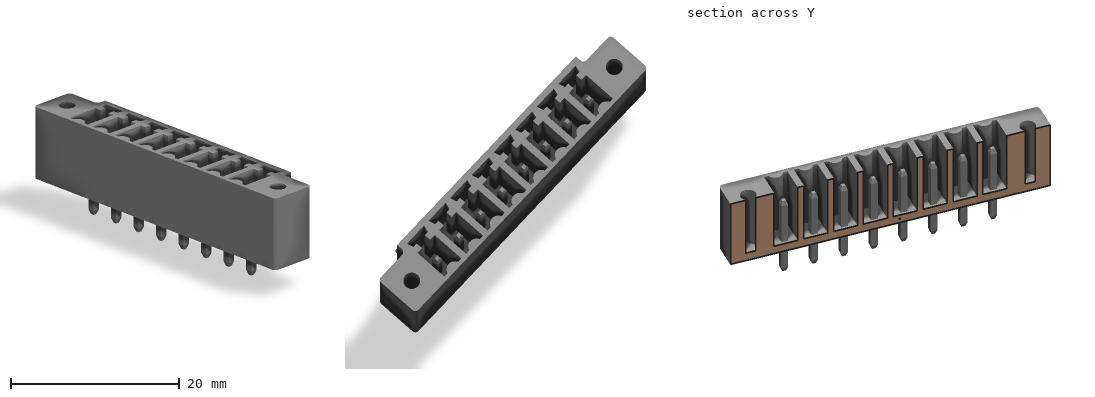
import cadquery as cq
import math

pole_count = 8
pitch = 3.81
housing_length = 40.87
housing_height = 9.2
housing_depth = 7.25
ear_length = 4.7
ear_depth = 6.0
corner_radius = 0.5
centre_y = 3.0

rib_projection = 0.3
rib_height = 0.6
rib_bottom = 5.65

floor_thickness = 1.2

cavity_width = 3.0
cavity_front = 0.5
shoulder_y = 4.8
neck_width = 1.4
neck_rear = 5.65
dovetail_front_width = 2.55
cavity_rear = 6.5
key_radius = 1.0
key_projection = 0.65

pin_width = 0.86
tip_width = 0.45
tip_length = 0.6
pin_below_housing = 3.4
pin_recess = 2.0

insert_diameter = 4.1
insert_bore = 2.0
insert_offset = 2.6

half_length = housing_length / 2
half_centre_length = half_length - ear_length
pole_positions = [(i - (pole_count - 1) / 2) * pitch for i in range(pole_count)]
insert_positions = [(side * (half_length - insert_offset), centre_y) for side in (-1, 1)]


def make_housing():
    """T-shaped block: full-depth centre, shallower end flanges, rounded upright corners."""
    ears = (
        cq.Workplane("XY")
        .box(housing_length, ear_depth, housing_height, centered=(True, False, False))
        .edges("|Z")
        .fillet(corner_radius)
    )
    centre = cq.Workplane("XY").box(
        2 * half_centre_length, housing_depth, housing_height, centered=(True, False, False)
    )
    inner_corners = cq.selectors.BoxSelector(
        (-half_length, ear_depth - corner_radius / 2, 0),
        (half_length, ear_depth + corner_radius / 2, housing_height),
    )
    return ears.union(centre).edges("|Z").edges(inner_corners).fillet(corner_radius)


def make_rib():
    """Thin rib along the rear wall."""
    return cq.Workplane("XY", origin=(0, housing_depth, rib_bottom)).box(
        2 * half_centre_length, rib_projection, rib_height, centered=(True, False, False)
    )


def make_cavity():
    """Plug cavity: wide chamber with a rounded key in front, narrow neck, dovetail at the rear."""
    half_cavity = cavity_width / 2
    half_neck = neck_width / 2
    half_dovetail = dovetail_front_width / 2
    half_key = math.sqrt(key_radius**2 - (key_radius - key_projection) ** 2)
    return (
        cq.Workplane("XY", origin=(0, 0, floor_thickness))
        .moveTo(-half_key, cavity_front)
        .threePointArc((0, cavity_front + key_projection), (half_key, cavity_front))
        .lineTo(half_cavity, cavity_front)
        .lineTo(half_cavity, shoulder_y)
        .lineTo(half_neck, shoulder_y)
        .lineTo(half_neck, neck_rear)
        .lineTo(half_dovetail, neck_rear)
        .lineTo(half_cavity, cavity_rear)
        .lineTo(-half_cavity, cavity_rear)
        .lineTo(-half_dovetail, neck_rear)
        .lineTo(-half_neck, neck_rear)
        .lineTo(-half_neck, shoulder_y)
        .lineTo(-half_cavity, shoulder_y)
        .lineTo(-half_cavity, cavity_front)
        .close()
        .extrude(housing_height - floor_thickness)
    )


def make_pin():
    """Square pin with a pyramidal taper at both ends."""
    shank_bottom = tip_length - pin_below_housing
    shank_top = housing_height - pin_recess - tip_length
    taper_angle = math.degrees(math.atan((pin_width - tip_width) / 2 / tip_length))
    pin = (
        cq.Workplane("XY", origin=(0, centre_y, shank_bottom))
        .rect(pin_width, pin_width)
        .extrude(shank_top - shank_bottom)
    )
    for end_face in (">Z", "<Z"):
        tip_base = pin.faces(end_face).workplane().rect(pin_width, pin_width)
        pin = tip_base.extrude(tip_length, taper=taper_angle)
    return pin


def add_inserts(body):
    """Set flush bored inserts into blind seats; the joint stays as an edge on the top face."""
    seat_depth = housing_height - floor_thickness
    seat_floor = cq.Workplane("XY", origin=(0, 0, floor_thickness)).pushPoints(insert_positions)
    seats = seat_floor.circle(insert_diameter / 2).extrude(seat_depth)
    bores = seat_floor.circle(insert_bore / 2).extrude(seat_depth)
    return body.cut(seats).union(seats.cut(bores), clean=False)


body = make_housing().union(make_rib())
cavity = make_cavity()
pin = make_pin()
for pole_x in pole_positions:
    body = body.cut(cavity.translate((pole_x, 0, 0)))
    body = body.union(pin.translate((pole_x, 0, 0)))

result = add_inserts(body).solids()